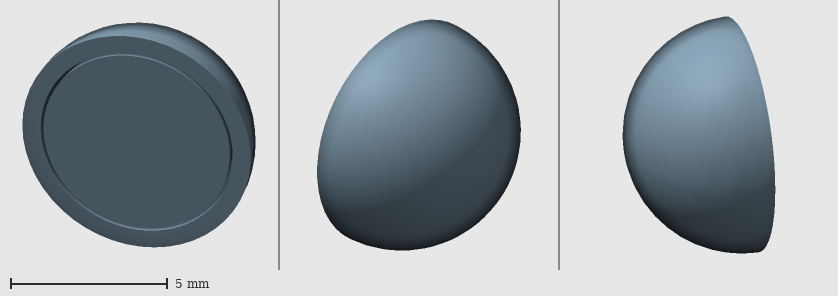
import cadquery as cq
import math

dome_radius = 3.8
cavity_radius = 3.2
gap = 0.1
core_radius = cavity_radius - gap


def hemisphere(radius):
    """Solid half ball about the origin: a quarter disc revolved about the Y axis."""
    mid = radius * math.sqrt(0.5)
    quarter_disc = (
        cq.Workplane("XY")
        .lineTo(-radius, 0)
        .threePointArc((-mid, mid), (0, radius))
        .close()
    )
    return quarter_disc.revolve(360, (0, 0, 0), (0, 1, 0))


shell = hemisphere(dome_radius).cut(hemisphere(cavity_radius))

core = hemisphere(core_radius)

result = cq.Compound.makeCompound([shell.val(), core.val()])